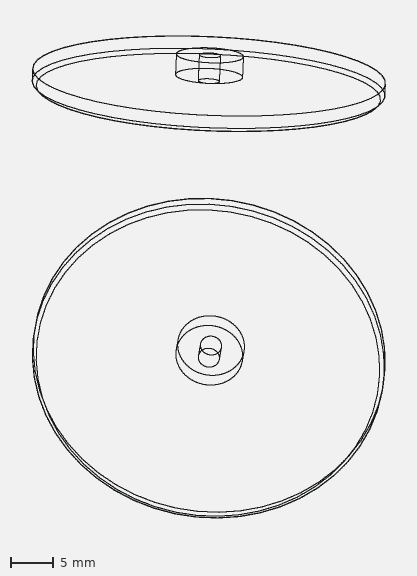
import cadquery as cq

disc_diameter = 42.0
rim_height = 1.5
bevel_height = 0.5
bevel_width = 0.5
disc_thickness = rim_height + bevel_height

hub_diameter = 8.0
hub_height = 2.5
bore_diameter = 2.5
bore_depth = 3.15

tilt_angle = 6.0


def make_disc():
    """Disc with its top face at Z = 0 and a bevel around the underside."""
    disc_radius = disc_diameter / 2
    profile = [
        (0, 0),
        (disc_radius, 0),
        (disc_radius, -rim_height),
        (disc_radius - bevel_width, -disc_thickness),
        (0, -disc_thickness),
    ]
    return cq.Workplane("XZ").polyline(profile).close().revolve(360, (0, 0), (0, 1))


def make_hub():
    return cq.Workplane("XY").circle(hub_diameter / 2).extrude(hub_height)


def make_bore():
    """Cutter reaching down from the top of the hub."""
    hub_top = cq.Workplane("XY").workplane(offset=hub_height)
    return hub_top.circle(bore_diameter / 2).extrude(-bore_depth)


upright_part = make_disc().union(make_hub()).cut(make_bore())
result = upright_part.rotate((0, 0, 0), (1, 0, 0), -tilt_angle)